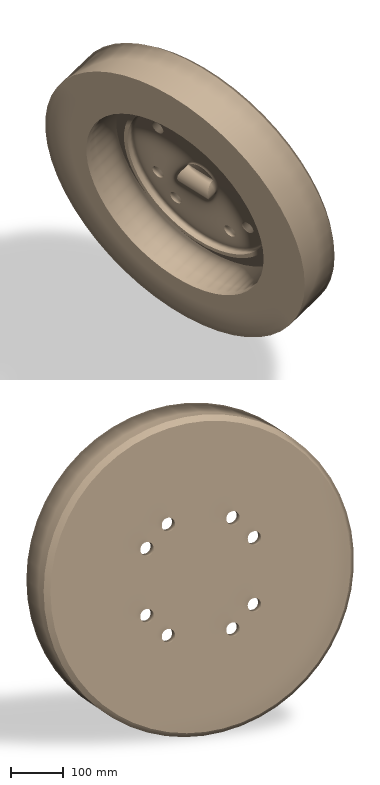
import cadquery as cq

wheel_diameter = 630.0
wheel_width = 100.0
bore_diameter = 430.0
rim_chamfer = 10.0

flange_thickness = 10.0
collar_height = 31.0
collar_inner_radius = 171.0
collar_outer_radius = 179.5
collar_outer_fillet = 5.35
collar_inner_fillet = 3.0
plate_edge_thickness = 15.0
plate_centre_thickness = 18.0

hole_diameter = 27.0
hole_near_offset = 65.5
hole_far_offset = 109.0

boss_radius = 37.0
boss_height = 4.0
boss_foot_fillet = 2.5
tongue_thickness = 43.5
tongue_height = 29.0

selection_margin = 0.05

back_y = wheel_width / 2
plate_edge_y = back_y - plate_edge_thickness
plate_centre_y = back_y - plate_centre_thickness
boss_top_y = plate_centre_y - boss_height


def back_plane():
    """Workplane on the back face, with its normal pointing forward along -Y."""
    return cq.Workplane("XZ", origin=(0, back_y, 0))


def cylinder_from_back(radius, thickness):
    """Cylinder on the wheel axis that grows forward from the back face."""
    return back_plane().circle(radius).extrude(thickness)


def make_rim():
    """Heavy ring with a plain bore and a chamfered back outer edge."""
    ring = cylinder_from_back(wheel_diameter / 2, wheel_width)
    ring = ring.faces(">Y").edges().chamfer(rim_chamfer)
    return ring.cut(cylinder_from_back(bore_diameter / 2, wheel_width))


def fillet_circle(body, radius, y, fillet_radius):
    """Fillet the one circular edge about the wheel axis that lies at the given radius and Y."""
    reach = radius + selection_margin
    edge_box = cq.selectors.BoxSelector(
        (-reach, y - selection_margin, -reach),
        (reach, y + selection_margin, reach),
        boundingbox=True,
    )
    return body.edges(edge_box).fillet(fillet_radius)


def make_disc():
    """Flange, collar, slightly conical centre plate and boss, revolved as one profile about Y."""
    disc_radius = bore_diameter / 2
    flange_y = back_y - flange_thickness
    collar_y = back_y - collar_height
    profile = (
        cq.Workplane("XY")
        .moveTo(0, back_y)
        .lineTo(disc_radius, back_y)
        .lineTo(disc_radius, flange_y)
        .lineTo(collar_outer_radius, flange_y)
        .lineTo(collar_outer_radius, collar_y)
        .lineTo(collar_inner_radius, collar_y)
        .lineTo(collar_inner_radius, plate_edge_y)
        .lineTo(boss_radius, plate_centre_y)
        .lineTo(boss_radius, boss_top_y)
        .lineTo(0, boss_top_y)
        .close()
    )
    disc = profile.revolve(360, (0, 0, 0), (0, 1, 0))
    disc = fillet_circle(disc, collar_outer_radius, flange_y, collar_outer_fillet)
    disc = fillet_circle(disc, collar_inner_radius, plate_edge_y, collar_inner_fillet)
    return fillet_circle(disc, boss_radius, plate_centre_y, boss_foot_fillet)


def make_tongue():
    """Flat tongue with a half-round crest, trimmed to the boss diameter."""
    half_thickness = tongue_thickness / 2
    crest_y = plate_centre_y - tongue_height
    flat_end_y = crest_y + half_thickness
    bar = (
        cq.Workplane("YZ")
        .moveTo(boss_top_y, -half_thickness)
        .lineTo(flat_end_y, -half_thickness)
        .threePointArc((crest_y, 0), (flat_end_y, half_thickness))
        .lineTo(boss_top_y, half_thickness)
        .close()
        .extrude(boss_radius, both=True)
    )
    return bar.intersect(cylinder_from_back(boss_radius, wheel_width))


def make_holes():
    """Cutters for the eight through holes."""
    centres = [
        (x_side * x, z_side * z)
        for x, z in ((hole_near_offset, hole_far_offset), (hole_far_offset, hole_near_offset))
        for x_side in (-1, 1)
        for z_side in (-1, 1)
    ]
    return back_plane().pushPoints(centres).circle(hole_diameter / 2).extrude(plate_centre_thickness)


def make_hub():
    """Disc and driving tongue as one piece, drilled with the eight holes."""
    return make_disc().union(make_tongue()).cut(make_holes())


rim = make_rim()
hub = make_hub()

result = cq.Compound.makeCompound([rim.solids().val(), hub.solids().val()])